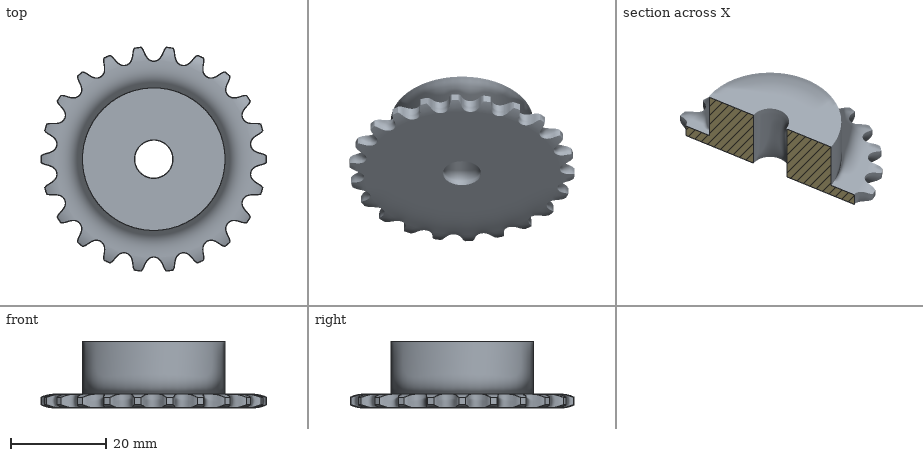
import cadquery as cq
import math

TOOTH_COUNT = 22
CHAIN_PITCH = 6.35
ROLLER_DIAMETER = 3.3
OUTSIDE_DIAMETER = 47.4
PLATE_THICKNESS = 2.9

HUB_DIAMETER = 30.0
BORE_DIAMETER = 8.0
TOTAL_HEIGHT = 14.0

RELIEF_START_RADIUS = 20.75
RELIEF_ARC_RADIUS = 1.063 * CHAIN_PITCH

TOOTH_ANGLE = 360.0 / TOOTH_COUNT
HALF_TOOTH_ANGLE = math.radians(TOOTH_ANGLE / 2)
PITCH_RADIUS = CHAIN_PITCH / (2 * math.sin(HALF_TOOTH_ANGLE))
OUTSIDE_RADIUS = OUTSIDE_DIAMETER / 2

SEAT_CLEARANCE = 0.0762
SEAT_DIAMETER = 1.005 * ROLLER_DIAMETER + SEAT_CLEARANCE
SEAT_RADIUS = SEAT_DIAMETER / 2
SEAT_END_ANGLE = -math.radians(35 + 60 / TOOTH_COUNT)
WORKING_CENTER_OFFSET = 0.8 * ROLLER_DIAMETER
WORKING_RADIUS = WORKING_CENTER_OFFSET + SEAT_RADIUS
WORKING_ARC_SWEEP = math.radians(18 - 56 / TOOTH_COUNT)
WORKING_END_ANGLE = SEAT_END_ANGLE + WORKING_ARC_SWEEP
TIP_CENTER_OFFSET = 1.4 * ROLLER_DIAMETER

CUTTER_OVERSHOOT = 0.3


def polar_point(center, radius, angle):
    """Point at a radius and angle (radians) from a center."""
    return (
        center[0] + radius * math.cos(angle),
        center[1] + radius * math.sin(angle),
    )


def mirrored(point):
    """Point on the other flank of the tooth space."""
    return (-point[0], point[1])


def tooth_space():
    """Cutter for the space centered on +Y: roller seat, working arcs, straights and tip arcs."""
    roller_center = (0, PITCH_RADIUS)
    seat_bottom = (0, PITCH_RADIUS - SEAT_RADIUS)
    seat_end = polar_point(roller_center, SEAT_RADIUS, SEAT_END_ANGLE)

    working_center = polar_point(roller_center, -WORKING_CENTER_OFFSET, SEAT_END_ANGLE)
    working_middle_angle = (SEAT_END_ANGLE + WORKING_END_ANGLE) / 2
    working_middle = polar_point(working_center, WORKING_RADIUS, working_middle_angle)
    working_end = polar_point(working_center, WORKING_RADIUS, WORKING_END_ANGLE)

    tip_center = polar_point(roller_center, TIP_CENTER_OFFSET, -HALF_TOOTH_ANGLE)
    to_tip_center = (tip_center[0] - working_end[0], tip_center[1] - working_end[1])
    tip_radius = (
        to_tip_center[0] * math.cos(WORKING_END_ANGLE)
        + to_tip_center[1] * math.sin(WORKING_END_ANGLE)
    )
    tip_start_angle = WORKING_END_ANGLE + math.pi
    tip_start = polar_point(tip_center, tip_radius, tip_start_angle)

    cutter_top = OUTSIDE_RADIUS + CUTTER_OVERSHOOT
    tip_end_angle = math.pi - math.asin((cutter_top - tip_center[1]) / tip_radius)
    tip_middle = polar_point(tip_center, tip_radius, (tip_start_angle + tip_end_angle) / 2)
    tip_end = polar_point(tip_center, tip_radius, tip_end_angle)

    return (
        cq.Workplane("XY")
        .moveTo(*tip_end)
        .threePointArc(tip_middle, tip_start)
        .lineTo(*working_end)
        .threePointArc(working_middle, seat_end)
        .threePointArc(seat_bottom, mirrored(seat_end))
        .threePointArc(mirrored(working_middle), mirrored(working_end))
        .lineTo(*mirrored(tip_start))
        .threePointArc(mirrored(tip_middle), mirrored(tip_end))
        .close()
        .extrude(PLATE_THICKNESS)
    )


def relieved_plate():
    """Disc whose rim narrows toward the outside along arcs tangent to both faces."""
    relief_width = OUTSIDE_RADIUS - RELIEF_START_RADIUS
    relief_end_angle = math.asin(relief_width / RELIEF_ARC_RADIUS)

    def relief_point(angle):
        radius = RELIEF_START_RADIUS + RELIEF_ARC_RADIUS * math.sin(angle)
        depth = RELIEF_ARC_RADIUS * (1 - math.cos(angle))
        return radius, depth

    middle_radius, middle_depth = relief_point(relief_end_angle / 2)
    _, tip_depth = relief_point(relief_end_angle)

    return (
        cq.Workplane("XZ")
        .lineTo(RELIEF_START_RADIUS, 0)
        .threePointArc((middle_radius, middle_depth), (OUTSIDE_RADIUS, tip_depth))
        .lineTo(OUTSIDE_RADIUS, PLATE_THICKNESS - tip_depth)
        .threePointArc(
            (middle_radius, PLATE_THICKNESS - middle_depth),
            (RELIEF_START_RADIUS, PLATE_THICKNESS),
        )
        .lineTo(0, PLATE_THICKNESS)
        .close()
        .revolve(360, (0, 0, 0), (0, 1, 0))
    )


def toothed_plate():
    """Plate with tooth spaces all around; a space lies on +Y and a tooth on +X."""
    plate = relieved_plate()
    cutter = tooth_space()
    for index in range(TOOTH_COUNT):
        plate = plate.cut(cutter.rotate((0, 0, 0), (0, 0, 1), index * TOOTH_ANGLE))
    return plate


def hub():
    """Round hub running the full height of the part."""
    return cq.Workplane("XY").circle(HUB_DIAMETER / 2).extrude(TOTAL_HEIGHT)


def bore():
    """Cutter for the central through hole."""
    return cq.Workplane("XY").circle(BORE_DIAMETER / 2).extrude(TOTAL_HEIGHT)


result = toothed_plate().union(hub()).cut(bore())